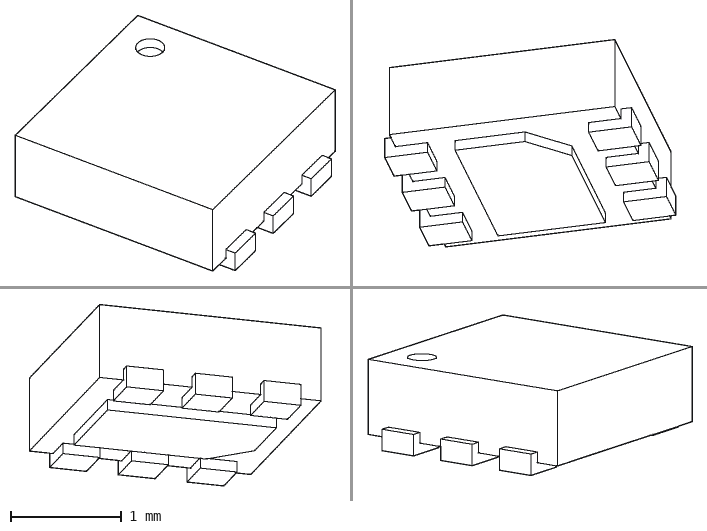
import cadquery as cq

overall_length = 2.3
housing_side = 2.1
housing_height = 0.7

lead_thickness = (overall_length - housing_side) / 2
lead_width = 0.35
lead_pitch = 0.65
lead_foot_length = 0.4
lead_height = 2 * lead_thickness
leads_per_side = 3

pad_length = 1.0
pad_width = 1.6
pad_chamfer = 0.35

dimple_diameter = 0.262
dimple_depth = 0.1
dimple_offset = 0.702


def make_housing():
    """Square block standing on the leads, with a round index dimple."""
    block = (
        cq.Workplane("XY")
        .workplane(offset=lead_thickness)
        .rect(housing_side, housing_side)
        .extrude(housing_height)
    )
    top_z = lead_thickness + housing_height
    dimple = (
        cq.Workplane("XY")
        .workplane(offset=top_z - dimple_depth)
        .center(-dimple_offset, dimple_offset)
        .circle(dimple_diameter / 2)
        .extrude(dimple_depth)
    )
    return block.cut(dimple)


def make_lead(side, center_y):
    """L-shaped lead; side is -1 for the -X row and +1 for the +X row."""
    outer_x = side * overall_length / 2
    wall_x = side * housing_side / 2
    foot_x = outer_x - side * lead_foot_length
    profile = [
        (outer_x, 0),
        (outer_x, lead_height),
        (wall_x, lead_height),
        (wall_x, lead_thickness),
        (foot_x, lead_thickness),
        (foot_x, 0),
    ]
    return (
        cq.Workplane("XZ", origin=(0, center_y, 0))
        .polyline(profile)
        .close()
        .extrude(lead_width / 2, both=True)
    )


def make_thermal_pad():
    """Flat pad under the housing, chamfered at its -X +Y corner."""
    return (
        cq.Workplane("XY")
        .rect(pad_length, pad_width)
        .extrude(lead_thickness)
        .edges("|Z")
        .edges("<(1, -1, 0)")
        .chamfer(pad_chamfer)
    )


housing = make_housing()
thermal_pad = make_thermal_pad()

leads = []
for side in (-1, 1):
    for row in range(leads_per_side):
        center_y = (row - (leads_per_side - 1) / 2) * lead_pitch
        leads.append(make_lead(side, center_y).val())

result = cq.Compound.makeCompound([housing.val(), thermal_pad.val(), *leads])